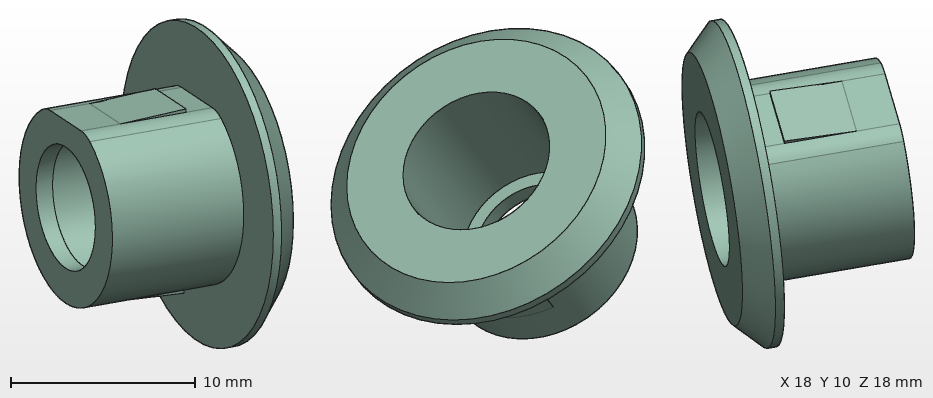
import cadquery as cq
import math

flange_radius = 9.0
rim_thickness = 0.5
bevel = 1.5

hub_radius = 5.5
hub_length = 8.0
flat_height = 5.0
blend_radius = 2.0

lip_radius = 3.5
lip_length = 1.0
bore_radius = 4.25

ramp_height = 0.2
ramp_gap = 1.6
ramp_length = 4.0
lower_ramp_width = 3.1
ramp_root = 0.36

flange_thickness = rim_thickness + bevel
ramp_start = -ramp_gap
ramp_end = ramp_start - ramp_length

blend_center_z = flat_height - blend_radius
flat_half_width = math.sqrt((hub_radius - blend_radius) ** 2 - blend_center_z ** 2)
blend_end_angle = math.atan2(blend_center_z, flat_half_width)
blend_mid_angle = (blend_end_angle + math.pi / 2) / 2


def revolve_about_y(profile):
    """Revolve (radius, y) points a full turn about the Y axis."""
    return cq.Workplane("XY").polyline(profile).close().revolve(360, (0, 0, 0), (0, 1, 0))


def make_flange():
    return revolve_about_y([
        (0, 0),
        (flange_radius, 0),
        (flange_radius, rim_thickness),
        (flange_radius - bevel, flange_thickness),
        (0, flange_thickness),
    ])


def make_hub():
    end_x = hub_radius * math.cos(blend_end_angle)
    end_z = hub_radius * math.sin(blend_end_angle)
    mid_x = flat_half_width + blend_radius * math.cos(blend_mid_angle)
    mid_z = blend_center_z + blend_radius * math.sin(blend_mid_angle)
    return (
        cq.Workplane("XZ")
        .moveTo(-flat_half_width, flat_height)
        .lineTo(flat_half_width, flat_height)
        .threePointArc((mid_x, mid_z), (end_x, end_z))
        .threePointArc((0, -hub_radius), (-end_x, end_z))
        .threePointArc((-mid_x, mid_z), (-flat_half_width, flat_height))
        .close()
        .extrude(hub_length)
    )


def make_upper_ramp():
    """Plane wedge as wide as the flat."""
    root_z = flat_height - ramp_root
    return (
        cq.Workplane("YZ")
        .polyline([
            (ramp_start, root_z),
            (ramp_start, flat_height + ramp_height),
            (ramp_end, flat_height),
            (ramp_end, root_z),
        ])
        .close()
        .extrude(flat_half_width, both=True)
    )


def make_lower_ramp():
    """Strip of a cone around the hub, cut to width at the bottom of the hub."""
    root_radius = hub_radius - ramp_root
    cone = revolve_about_y([
        (root_radius, ramp_start),
        (hub_radius + ramp_height, ramp_start),
        (hub_radius, ramp_end),
        (root_radius, ramp_end),
    ])
    strip = (
        cq.Workplane("XY")
        .center(0, (ramp_start + ramp_end) / 2)
        .rect(lower_ramp_width, ramp_length)
        .extrude(-flange_radius)
    )
    return cone.intersect(strip)


def make_bore():
    return revolve_about_y([
        (0, flange_thickness),
        (bore_radius, flange_thickness),
        (bore_radius, lip_length - hub_length),
        (lip_radius, lip_length - hub_length),
        (lip_radius, -hub_length),
        (0, -hub_length),
    ])


body = make_flange().union(make_hub()).union(make_upper_ramp()).union(make_lower_ramp())
result = body.cut(make_bore())